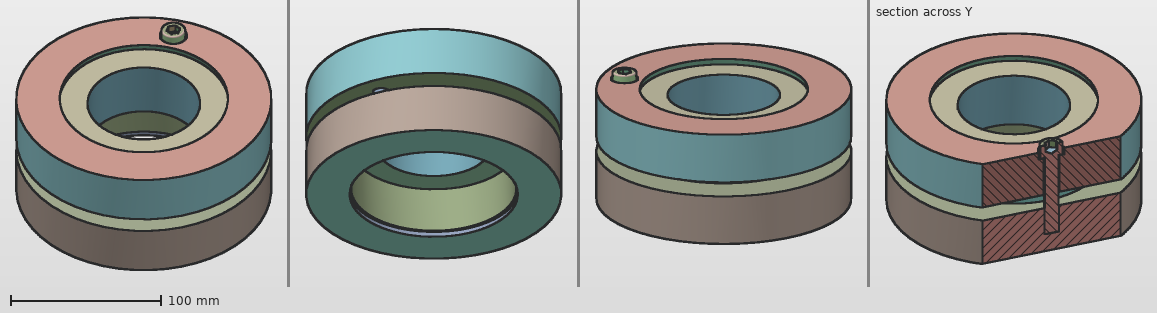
import cadquery as cq
import math

flange_diameter = 170.0
flange_height = 34.0
flange_gap = 10.0
upper_base = flange_height + flange_gap
upper_top = upper_base + flange_height
middle_height = flange_height + flange_gap / 2

hub_diameter = 122.9
taper_end_diameter = 112.0
hub_inset = 4.0
upper_bore_diameter = 75.0
lower_bore_diameter = 110.0
bore_step_height = 36.0
taper_slope = (hub_diameter - taper_end_diameter) / 2 / middle_height

screw_y = 69.0
shank_diameter = 10.0
clearance_diameter = 11.0
head_diameter = 16.0
head_height = shank_diameter
head_fillet = 1.0
head_projection = 5.0
counterbore_diameter = 18.0
counterbore_depth = head_height - head_projection
head_seat = upper_top - counterbore_depth
screw_top = upper_top + head_projection
thread_engagement = 20.4
screw_tip = flange_height - thread_engagement
hex_sides = 6
hex_across_flats = 8.0
hex_depth = 5.0
hex_tip_angle = 120.0


def cylinder(diameter, bottom, top, y=0.0):
    """Upright cylinder between two heights."""
    return cq.Workplane("XY", origin=(0, y, bottom)).circle(diameter / 2).extrude(top - bottom)


def make_double_cone(inset):
    """Solid double cone, widest midway up, stopping short of both outer flange faces by the inset."""
    middle_radius = hub_diameter / 2
    end_radius = middle_radius - taper_slope * (middle_height - inset)
    profile = [
        (0, inset),
        (end_radius, inset),
        (middle_radius, middle_height),
        (end_radius, upper_top - inset),
        (0, upper_top - inset),
    ]
    return cq.Workplane("XZ").polyline(profile).close().revolve(360, (0, 0), (0, 1))


def make_lower_flange():
    """Disc with a tapered bore and a blind hole that receives the screw shank."""
    disc = cylinder(flange_diameter, 0, flange_height)
    screw_hole = cylinder(shank_diameter, screw_tip, flange_height, screw_y)
    return disc.cut(make_double_cone(0)).cut(screw_hole)


def make_upper_flange():
    """Disc with a tapered bore and a counterbored screw hole."""
    disc = cylinder(flange_diameter, upper_base, upper_top)
    clearance_hole = cylinder(clearance_diameter, upper_base, upper_top, screw_y)
    counterbore = cylinder(counterbore_diameter, head_seat, upper_top, screw_y)
    return disc.cut(make_double_cone(0)).cut(clearance_hole).cut(counterbore)


def make_hub():
    """Double-cone hub with a stepped bore, seated in both flanges."""
    upper_bore = cylinder(upper_bore_diameter, bore_step_height, upper_top)
    lower_bore = cylinder(lower_bore_diameter, 0, bore_step_height)
    return make_double_cone(hub_inset).cut(upper_bore).cut(lower_bore)


def make_hex_socket():
    """Hexagonal recess with corners along Y and a conical bottom."""
    corner_radius = hex_across_flats / math.sqrt(3)
    cone_height = corner_radius / math.tan(math.radians(hex_tip_angle / 2))
    socket_floor = screw_top - hex_depth
    cone_tip = cq.Vector(0, screw_y, socket_floor - cone_height)
    corner_angles = [math.tau * (i + 0.5) / hex_sides for i in range(hex_sides)]
    corners = [(corner_radius * math.cos(a), corner_radius * math.sin(a)) for a in corner_angles]
    hexagon = (
        cq.Workplane("XY", origin=cone_tip.toTuple())
        .polyline(corners).close().extrude(hex_depth + cone_height)
    )
    drill = cq.Workplane(cq.Solid.makeCone(0, corner_radius, cone_height, cone_tip))
    straight = cylinder(2 * corner_radius, socket_floor, screw_top, screw_y)
    return hexagon.intersect(drill.union(straight))


def make_screw():
    """Socket head screw with a rounded head rim."""
    head = cylinder(head_diameter, head_seat, screw_top, screw_y)
    head = head.faces(">Z").edges().fillet(head_fillet)
    shank = cylinder(shank_diameter, screw_tip, head_seat, screw_y)
    return head.union(shank).cut(make_hex_socket())


lower_flange = make_lower_flange()
upper_flange = make_upper_flange()
hub = make_hub()
screw = make_screw()

result = cq.Compound.makeCompound([
    lower_flange.solids().val(),
    upper_flange.solids().val(),
    hub.solids().val(),
    screw.solids().val(),
])